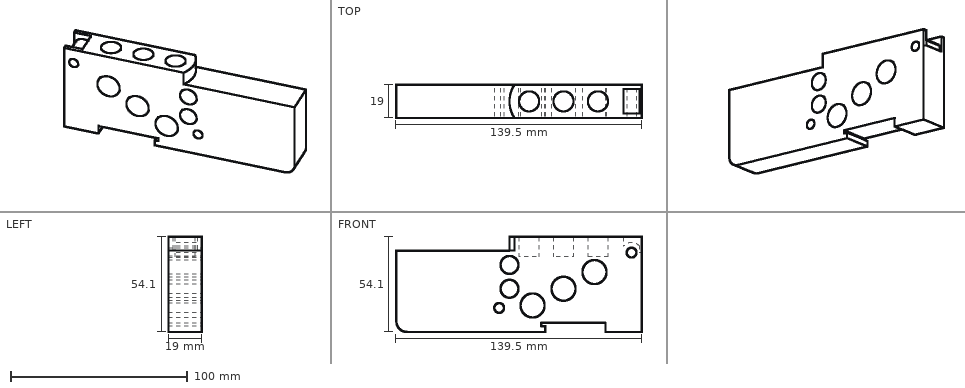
import cadquery as cq
import math

length = 139.5
thickness = 19.0
low_height = 46.2
full_height = 54.1
corner_radius = 6.0

raised_start = 64.3
raised_bow = 2.8

slot_start = 84.7
slot_end = 118.7
slot_depth = 5.2
slot_lip_height = 3.3
slot_undercut = 2.2

main_bore_diameter = 13.5
main_bore_centre = (95.0, 24.5)
main_bore_pitch = (17.6, 9.5)
side_bore_diameter = 10.0
side_bore_heights = (24.5, 38.1)
pin_diameter = 5.5
lower_pin_centre = (58.5, 13.7)
hinge_centre = (133.6, 45.0)

port_diameter = 11.5
port_pitch = 19.5
port_depth = 11.2

gap_width = 14.0
knuckle_radius = 5.9
knuckle_half_length = 4.5


def make_body():
    low_part = (
        cq.Workplane("XY")
        .box(length, thickness, low_height, centered=(False, True, False))
        .edges("|Y and <X and <Z")
        .fillet(corner_radius)
    )
    bow_end = raised_start + raised_bow
    half = thickness / 2
    raised_part = (
        cq.Workplane("XY", origin=(0, 0, low_height))
        .moveTo(length, -half)
        .lineTo(length, half)
        .lineTo(bow_end, half)
        .threePointArc((raised_start, 0), (bow_end, -half))
        .close()
        .extrude(full_height - low_height)
    )
    return low_part.union(raised_part)


def make_rail_slot():
    return (
        cq.Workplane("XZ")
        .moveTo(slot_start, 0)
        .lineTo(slot_start, slot_lip_height)
        .lineTo(slot_start - slot_undercut, slot_lip_height)
        .lineTo(slot_start - slot_undercut, slot_depth)
        .lineTo(slot_end, slot_depth)
        .lineTo(slot_end, 0)
        .close()
        .extrude(thickness, both=True)
    )


def make_cross_bores(diameter, centres):
    return cq.Workplane("XZ").pushPoints(centres).circle(diameter / 2).extrude(thickness, both=True)


def make_ports():
    centres = [(main_bore_centre[0] + step * port_pitch, 0) for step in (-1, 0, 1)]
    return (
        cq.Workplane("XY", origin=(0, 0, full_height))
        .pushPoints(centres)
        .circle(port_diameter / 2)
        .extrude(-port_depth)
    )


def make_hinge_gap():
    hinge_x, ledge_z = hinge_centre
    gap_start = hinge_x - knuckle_half_length
    knuckle_end = hinge_x + knuckle_half_length
    shoulder_z = ledge_z + math.sqrt(knuckle_radius**2 - knuckle_half_length**2)
    return (
        cq.Workplane("XZ", origin=(0, gap_width / 2, 0))
        .moveTo(gap_start, full_height)
        .lineTo(gap_start, shoulder_z)
        .threePointArc((hinge_x, ledge_z + knuckle_radius), (knuckle_end, shoulder_z))
        .lineTo(knuckle_end, ledge_z)
        .lineTo(length, ledge_z)
        .lineTo(length, full_height)
        .close()
        .extrude(gap_width)
    )


middle_x, middle_z = main_bore_centre
pitch_x, pitch_z = main_bore_pitch
main_bores = [(middle_x + step * pitch_x, middle_z + step * pitch_z) for step in (-1, 0, 1)]
side_bores = [(raised_start, height) for height in side_bore_heights]

result = (
    make_body()
    .cut(make_rail_slot())
    .cut(make_hinge_gap())
    .cut(make_ports())
    .cut(make_cross_bores(main_bore_diameter, main_bores))
    .cut(make_cross_bores(side_bore_diameter, side_bores))
    .cut(make_cross_bores(pin_diameter, [lower_pin_centre, hinge_centre]))
)